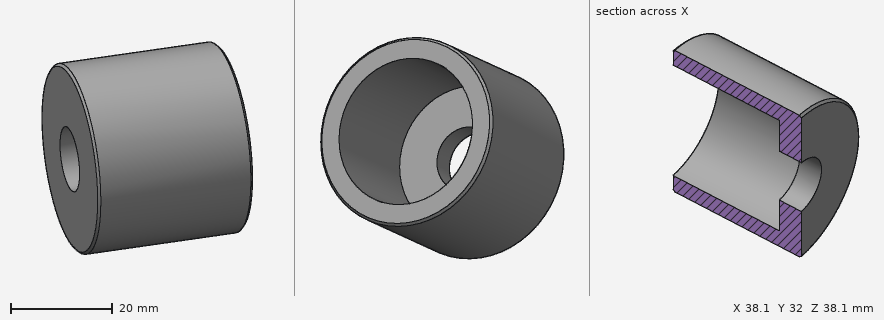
import cadquery as cq

outer_diameter = 38.1
length = 32.0
edge_chamfer = 0.5
hole_diameter = 13.0
lip_thickness = 5.5
bore_diameter = 29.5

front_y = -length / 2


def cylinder_along_y(diameter, start_y, height):
    """Solid cylinder on the Y axis, growing toward +Y from start_y."""
    start_plane = cq.Workplane("XZ", origin=(0, start_y, 0))
    return start_plane.circle(diameter / 2).extrude(-height)


def make_body():
    """Outer cylinder with both rims chamfered."""
    blank = cylinder_along_y(outer_diameter, front_y, length)
    return blank.edges("%CIRCLE").chamfer(edge_chamfer)


through_hole = cylinder_along_y(hole_diameter, front_y, length)
rear_bore = cylinder_along_y(bore_diameter, front_y + lip_thickness, length - lip_thickness)

result = make_body().cut(through_hole).cut(rear_bore)